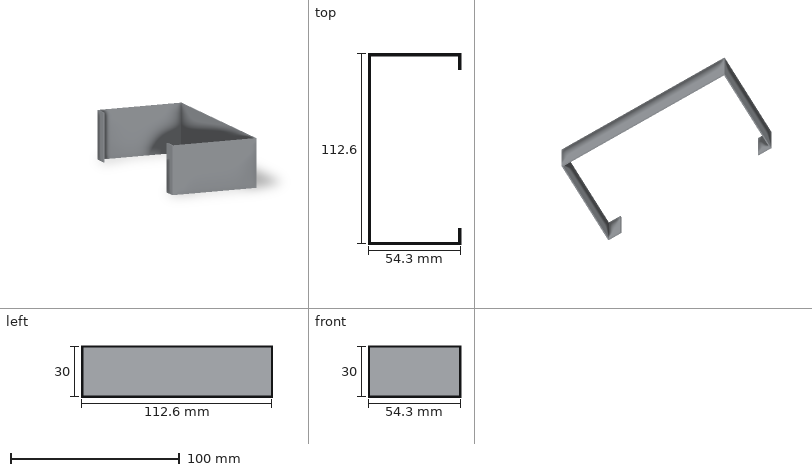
import cadquery as cq

flange_width = 54.3
web_length = 112.6
channel_height = 30.0
wall = 0.8
lip_length = 8.9

mouth_width = web_length - 2 * lip_length


def upright_block(size_x, size_y):
    """Block of full channel height, centred on the Z axis and standing on Z = 0."""
    return cq.Workplane("XY").box(size_x, size_y, channel_height, centered=(True, True, False))


def make_channel():
    """Rectangular tube with its +X wall opened between the lips."""
    outer = upright_block(flange_width, web_length)
    cavity = upright_block(flange_width - 2 * wall, web_length - 2 * wall)
    mouth = upright_block(wall, mouth_width).translate(((flange_width - wall) / 2, 0, 0))
    return outer.cut(cavity).cut(mouth)


result = make_channel()